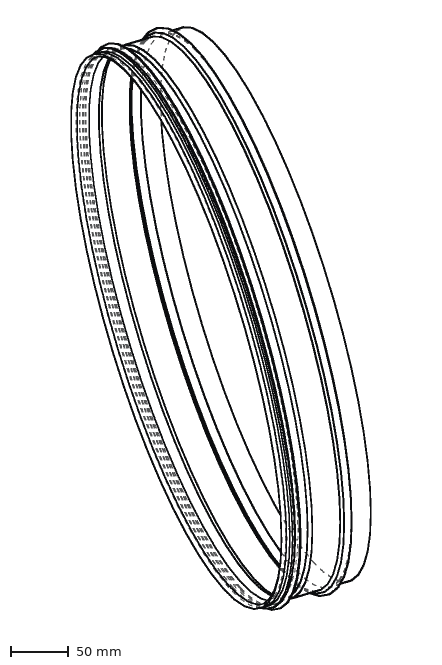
import math

import cadquery as cq

LENGTH = 82.5
SHEET = 0.5

WALL_R = 499.0 / 2
BEAD_R = 511.0 / 2
SEAT_BACK_R = 495.0 / 2
SEAT_FRONT_R = 494.0 / 2

COLLAR_BACK = 4.5
SEAT_BACK = 25.0
WALL_FRONT = 28.5
BEAD_FRONT = 54.0
BEAD_CREST_FRONT = 56.5
BEAD_CREST_BACK = 64.0
BEAD_BACK = 65.0
BEAD_SHOULDER_DROP = 3.0

SEAL_R = WALL_R
LIP_R = 509.0 / 2
RIB_R = 504.0 / 2
SEAL_BACK = 16.0
LIP_TIP_WIDTH = 1.0
LIP_FRONT = 13.0
RIB_FRONT = 7.5
RIB_CREST_FRONT = 9.0
RIB_BACK = 11.0


def revolve_about_y(profile):
    """Turn a closed (radius, y) profile through a full circle about the Y axis."""
    return profile.close().revolve(360, (0, 0, 0), (0, 1, 0))


def seat_radius(y):
    """Outside radius of the conical seal seat at a given y."""
    slope = (SEAT_BACK_R - SEAT_FRONT_R) / (SEAT_BACK - COLLAR_BACK)
    return SEAT_FRONT_R + slope * (y - COLLAR_BACK)


def sleeve_surface(inset):
    """Crest point and the lines in front of and behind it, inset from the outer surface."""
    shoulder_r = BEAD_R - BEAD_SHOULDER_DROP - inset
    crest = (BEAD_R - inset, (BEAD_CREST_FRONT + BEAD_CREST_BACK) / 2)
    front_line = [
        (SEAT_FRONT_R - inset, COLLAR_BACK),
        (SEAT_BACK_R - inset, SEAT_BACK),
        (WALL_R - inset, WALL_FRONT),
        (WALL_R - inset, BEAD_FRONT + inset),
        (shoulder_r, BEAD_CREST_FRONT + inset),
    ]
    back_line = [
        (shoulder_r, BEAD_CREST_BACK - inset),
        (WALL_R - inset, BEAD_BACK - inset),
        (WALL_R - inset, LENGTH),
    ]
    return crest, front_line, back_line


def make_sleeve():
    """Thin rolled sleeve with a hollow stop bead, a seal seat and a hemmed front collar."""
    outer_crest, outer_front, outer_back = sleeve_surface(0)
    inner_crest, inner_front, inner_back = sleeve_surface(SHEET)

    profile = cq.Workplane("XY").polyline([(WALL_R, 0), (WALL_R, COLLAR_BACK), *outer_front])
    profile = profile.threePointArc(outer_crest, outer_back[0])
    profile = profile.polyline([*outer_back[1:], *reversed(inner_back)], includeCurrent=True)
    profile = profile.threePointArc(inner_crest, inner_front[-1])

    bore_r = SEAT_FRONT_R - SHEET
    roll_r = WALL_R - bore_r
    roll_start = (bore_r, roll_r)
    roll_middle = (WALL_R - roll_r * math.sqrt(0.5), roll_r * (1 - math.sqrt(0.5)))
    profile = profile.polyline([*inner_front[-2::-1], roll_start], includeCurrent=True)
    profile = profile.threePointArc(roll_middle, (WALL_R, 0))
    return revolve_about_y(profile)


def make_seal():
    """Seal filling the front of the seat, with a tall lip and a lower rib."""
    profile = cq.Workplane("XY").polyline([
        (SEAT_FRONT_R, COLLAR_BACK),
        (SEAL_R, COLLAR_BACK),
        (SEAL_R, RIB_FRONT),
        (RIB_R, RIB_CREST_FRONT),
        (RIB_R, RIB_BACK),
        (SEAL_R, RIB_BACK),
        (SEAL_R, LIP_FRONT),
        (LIP_R, SEAL_BACK - LIP_TIP_WIDTH),
        (LIP_R, SEAL_BACK),
        (seat_radius(SEAL_BACK), SEAL_BACK),
    ])
    return revolve_about_y(profile)


sleeve = make_sleeve()
seal = make_seal()
result = cq.Compound.makeCompound([sleeve.val(), seal.val()])